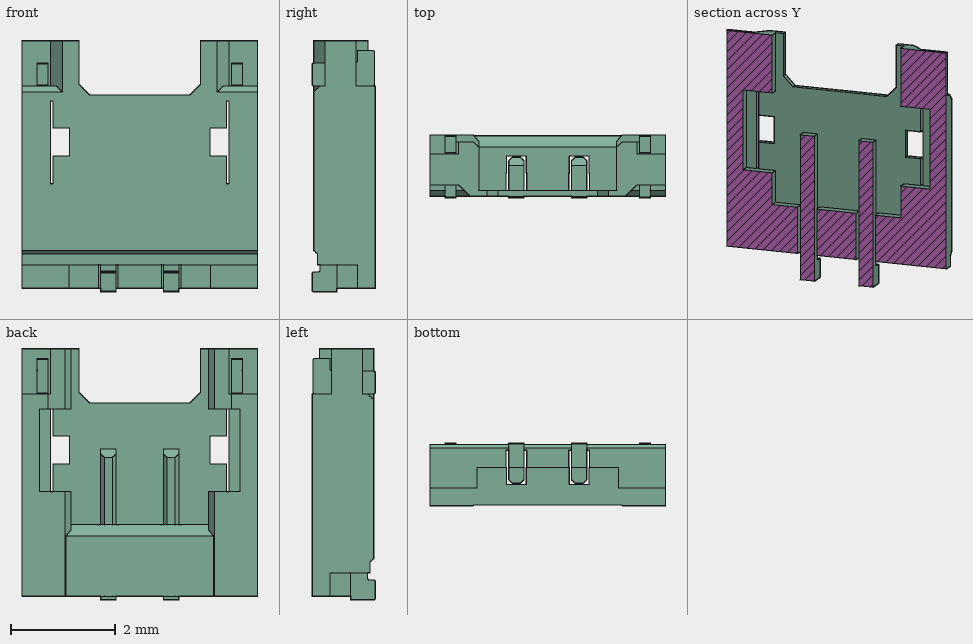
import cadquery as cq

half_width = 4.5 / 2
total_height = 4.79
back_y = 1.175
housing_bottom = 0.065
ledge_z = 3.93
front_wall = 0.115

overhang_z = 0.513
leg_front_y = 0.84
center_block_front_y = 0.44
center_block_half = 1.345
front_step = 0.065
front_step_low_z = 0.725
front_step_high_z = front_step_low_z + front_step

cavity_half = 1.312
mouth_flare = 0.11
mouth_chamfer_depth = 0.13
floor_z = 1.435
floor_slope_start_y = 0.94
center_back_y = 1.16

tower_back_y = 1.04
tower_flare_depth = 0.1
notch_x = 1.7
back_notch_y = 0.805
front_notch_y = 0.215
front_notch_flare = 0.225
front_slope = 0.115

window_half = 1.155
window_z = 3.755
window_chamfer = 0.2

slit_width = 0.045
slit_bottom_z = 2.065
slit_top_z = 3.635
port_bottom_z = 2.59
port_top_z = 3.125
port_inner_x = 1.34
latch_pocket_half = 1.91

pin_x = 0.6
pin_width = 0.295
pin_front_y = -0.03
pin_tail_top = 0.385
pin_tip_y = 0.745
pin_top_z = 2.875
pin_slope_start_y = 0.59
pin_tip_corner = 0.07
small_bevel = 0.02
pin_slot_half = 0.185
pin_slot_wide_half = 0.195
pin_slot_back_y = 0.765

nub_inner_x = 1.75
nub_outer_x = 1.96
front_nub_top = 4.365
back_nub_top = 4.605
back_nub_y = 1.16
back_nub_gap = 0.03


def block(x0, x1, y0, y1, z0, z1):
    return cq.Workplane("XY").box(x1 - x0, y1 - y0, z1 - z0, centered=False).translate((x0, y0, z0))


def plan_prism(points, z0, z1):
    return cq.Workplane("XY").workplane(offset=z0).polyline(points).close().extrude(z1 - z0)


def side_prism(points, x0, x1):
    return cq.Workplane("YZ").workplane(offset=x0).polyline(points).close().extrude(x1 - x0)


def both_sides(shape):
    return shape.union(shape.mirror("YZ"))


def housing():
    """Side profile over the full width, with the centre block below it."""
    profile = [
        (0, total_height),
        (0, front_step_high_z),
        (front_step, front_step_low_z),
        (front_step, overhang_z),
        (leg_front_y, overhang_z),
        (leg_front_y, housing_bottom),
        (back_y, housing_bottom),
        (back_y, total_height),
    ]
    body = side_prism(profile, -half_width, half_width)
    center_block = block(
        -center_block_half, center_block_half, center_block_front_y, back_y, housing_bottom, overhang_z
    )
    return body.union(center_block)


def cavity_plan(flare_start_y, flare_end_y):
    """Outline of the cavity, flared at its open back."""
    mouth_half = cavity_half + mouth_flare
    return [
        (-cavity_half, front_wall),
        (cavity_half, front_wall),
        (cavity_half, flare_start_y),
        (mouth_half, flare_end_y),
        (-mouth_half, flare_end_y),
        (-cavity_half, flare_start_y),
    ]


def cavity():
    """Cavity open to the back and top, with a floor that slopes down at its back edge."""
    floor_drop = center_back_y - floor_slope_start_y
    mouth = plan_prism(cavity_plan(back_y - mouth_chamfer_depth, back_y), 0, slit_top_z)
    above_floor = side_prism(
        [
            (front_wall, floor_z),
            (floor_slope_start_y, floor_z),
            (center_back_y, floor_z - floor_drop),
            (center_back_y, housing_bottom),
            (back_y, housing_bottom),
            (back_y, slit_top_z),
            (front_wall, slit_top_z),
        ],
        -half_width,
        half_width,
    )
    tower_gap = plan_prism(
        cavity_plan(tower_back_y - tower_flare_depth, tower_back_y), slit_top_z, total_height
    )
    return mouth.intersect(above_floor).union(tower_gap)


def tower_back_cuts():
    """Material removed behind the towers."""
    middle = block(-nub_inner_x, nub_inner_x, tower_back_y, back_y, slit_top_z, total_height)
    side = block(-half_width, -notch_x, back_notch_y, back_y, ledge_z, total_height)
    return middle.union(both_sides(side))


def front_notches():
    """Corner notches in front of the towers, with a bevelled shoulder below."""
    slope_z = ledge_z - front_slope
    plan = [
        (-half_width, 0),
        (front_notch_flare - notch_x, 0),
        (-notch_x, front_notch_y),
        (-half_width, front_notch_y),
    ]
    above_shoulder = side_prism(
        [
            (0, slope_z),
            (front_slope, ledge_z),
            (front_notch_y, ledge_z),
            (front_notch_y, total_height),
            (0, total_height),
        ],
        -half_width,
        0,
    )
    return both_sides(plan_prism(plan, slope_z, total_height).intersect(above_shoulder))


def front_window():
    """Opening between the towers in the front wall, with bevelled lower corners."""
    return (
        cq.Workplane("XZ")
        .polyline(
            [
                (-window_half, total_height),
                (-window_half, window_z + window_chamfer),
                (window_chamfer - window_half, window_z),
                (window_half - window_chamfer, window_z),
                (window_half, window_z + window_chamfer),
                (window_half, total_height),
            ]
        )
        .close()
        .extrude(-front_wall)
    )


def latch_openings():
    """Slits and ports through the front wall, and the pockets in the arms behind them."""
    slit = block(-notch_x, slit_width - notch_x, 0, front_wall, slit_bottom_z, slit_top_z)
    port = block(-notch_x, -port_inner_x, 0, front_wall, port_bottom_z, port_top_z)
    pocket = block(
        -latch_pocket_half, latch_pocket_half, front_wall, back_y, slit_bottom_z, slit_top_z
    )
    return both_sides(slit.union(port)).union(pocket)


def pin_slot(x):
    """Slot down through the floor, slightly wider near the front wall."""
    narrow = block(x - pin_slot_half, x + pin_slot_half, front_wall, pin_slot_back_y, 0, floor_z)
    wide = block(
        x - pin_slot_wide_half, x + pin_slot_wide_half, front_wall, center_block_front_y, 0, floor_z
    )
    return narrow.union(wide)


def pin(x):
    """L-shaped contact: a blade behind the front wall and a tail pointing forward."""
    left = x - pin_width / 2
    right = x + pin_width / 2
    blade = side_prism(
        [
            (front_wall, 0),
            (center_block_front_y, 0),
            (center_block_front_y, housing_bottom),
            (pin_tip_y, housing_bottom),
            (pin_tip_y, pin_top_z + pin_slope_start_y - pin_tip_y),
            (pin_slope_start_y, pin_top_z),
            (front_wall, pin_top_z),
        ],
        left,
        right,
    )
    blade = blade.edges("|Z and >Y").chamfer(pin_tip_corner)
    tail = side_prism(
        [
            (front_wall, 0),
            (pin_front_y + small_bevel, 0),
            (pin_front_y, small_bevel),
            (pin_front_y, pin_tail_top - small_bevel),
            (pin_front_y + small_bevel, pin_tail_top),
            (front_wall - small_bevel, pin_tail_top),
            (front_wall, pin_tail_top + small_bevel),
        ],
        left,
        right,
    )
    return blade.union(tail)


def nubs():
    """Solder nubs standing on the shoulders in front of and behind each tower."""
    front = side_prism(
        [
            (front_notch_y, ledge_z),
            (pin_front_y + small_bevel, ledge_z),
            (pin_front_y, ledge_z + small_bevel),
            (pin_front_y, front_nub_top - small_bevel),
            (pin_front_y + small_bevel, front_nub_top),
            (front_notch_y, front_nub_top),
        ],
        -nub_outer_x,
        -nub_inner_x,
    )
    back = side_prism(
        [
            (back_notch_y, ledge_z),
            (back_notch_y, front_nub_top),
            (back_notch_y + back_nub_gap, front_nub_top + back_nub_gap),
            (back_notch_y + back_nub_gap, back_nub_top),
            (back_nub_y - small_bevel, back_nub_top),
            (back_nub_y, back_nub_top - small_bevel),
            (back_nub_y, ledge_z + small_bevel),
            (back_nub_y - small_bevel, ledge_z),
        ],
        -nub_outer_x,
        -nub_inner_x,
    )
    return both_sides(front.union(back))


result = housing()
for cutter in (cavity(), tower_back_cuts(), front_notches(), front_window(), latch_openings()):
    result = result.cut(cutter)
for x in (-pin_x, pin_x):
    result = result.cut(pin_slot(x)).union(pin(x))
result = result.union(nubs())